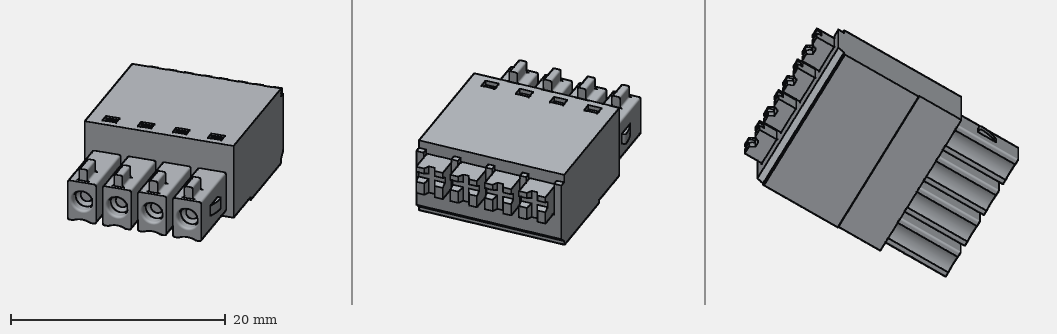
import cadquery as cq
import math

pole_count = 4
pole_pitch = 3.49
pole_positions = [(i - (pole_count - 1) / 2) * pole_pitch for i in range(pole_count)]
total_length = 21.8

housing_width = 14.8
housing_height = 7.8
housing_length = 13.35
rear_step_length = 0.6
rear_step_drop = 0.83
rear_chamfer_top = 1.05
rear_chamfer_bottom = 0.48
rear_edge_chamfer = 0.1
front_relief_length = 4.6
front_relief_height = 0.3

plug_length = 6.6
plug_width = 2.83
plug_top = 4.9
plug_bottom = 0.8
plug_edge_radius = 0.22
groove_half_width = 0.87
groove_height = 0.22

bore_height = 2.92
bore_radius = 0.98
bore_depth = 0.98
bore_mouth_radius = 0.22
bore_floor_radius = 0.59
bore_cone_depth = 0.3

key_width = 0.83
key_top = 6.1
key_setback = 0.37
key_length = 2.14
key_radius = 0.2

latch_bottom = 2.35
latch_height = 1.07
latch_reach = 0.37
latch_embed = 0.1
latch_back = -2.22
latch_corner_radius = 0.17
latch_tip = -4.2

tab_width = 2.7
tab_bottom = 3.65
tab_top = 6.55
tab_clearance = 0.07
notch_height = 5.43
notch_depth = 0.52
notch_mouth = 1.1
notch_floor = 0.57

opening_width = 1.35
opening_length = 0.98
opening_front = 0.75
opening_depth = 0.87
contact_width = 1.05
contact_drop = 0.2
contact_front_gap = 0.07
contact_flat_length = 0.3
contact_slope_drop = 0.22

tab_end = total_length - plug_length
rear_face = housing_length - rear_step_length


def box(width, y_start, y_end, z_start, z_end):
    """Box centred on X = 0 that spans the given Y and Z ranges."""
    return (
        cq.Workplane("XY")
        .box(width, y_end - y_start, z_end - z_start, centered=(True, False, False))
        .translate((0, y_start, z_start))
    )


def make_housing():
    ledge_top = housing_height - rear_step_drop
    return (
        cq.Workplane("YZ")
        .moveTo(0, front_relief_height)
        .lineTo(front_relief_length, front_relief_height)
        .lineTo(front_relief_length, 0)
        .lineTo(rear_face - rear_edge_chamfer, 0)
        .lineTo(rear_face, rear_edge_chamfer)
        .lineTo(rear_face, rear_chamfer_bottom)
        .lineTo(housing_length, rear_chamfer_top)
        .lineTo(housing_length, ledge_top)
        .lineTo(rear_face, ledge_top)
        .lineTo(rear_face, housing_height)
        .lineTo(0, housing_height)
        .close()
        .extrude(housing_width / 2, both=True)
    )


def make_plug():
    """Plug with rounded long edges and a shallow groove along its underside."""
    half_width = plug_width / 2
    profile = (
        cq.Workplane("XZ")
        .moveTo(-half_width, plug_top)
        .lineTo(-half_width, plug_bottom)
        .lineTo(-groove_half_width, plug_bottom)
        .threePointArc((0, plug_bottom + groove_height), (groove_half_width, plug_bottom))
        .lineTo(half_width, plug_bottom)
        .lineTo(half_width, plug_top)
        .close()
        .extrude(plug_length)
    )
    return profile.edges("|Y and (<X or >X)").fillet(plug_edge_radius)


def make_bore():
    """Round opening with a rounded mouth and a tapered end, open to the front of the plug."""
    mouth_radius = bore_radius + bore_mouth_radius
    cone_end = bore_depth + bore_cone_depth
    arc_offset = bore_mouth_radius * (1 - math.sqrt(0.5))
    return (
        cq.Workplane("XY")
        .moveTo(0, 0)
        .lineTo(mouth_radius, 0)
        .threePointArc((bore_radius + arc_offset, arc_offset), (bore_radius, bore_mouth_radius))
        .lineTo(bore_radius, bore_depth)
        .lineTo(bore_floor_radius, cone_end)
        .lineTo(0, cone_end)
        .close()
        .revolve()
        .translate((0, -plug_length, bore_height))
    )


def make_key():
    """Upright rib with a rounded top and a flared foot."""
    half_width = key_width / 2
    foot = half_width + key_radius
    shoulder = key_top - key_radius
    foot_top = plug_top + key_radius
    crest = half_width - key_radius
    key_rear = key_setback + key_length - plug_length
    return (
        cq.Workplane("XZ", origin=(0, key_rear, 0))
        .moveTo(-foot, plug_top)
        .radiusArc((-half_width, foot_top), -key_radius)
        .lineTo(-half_width, shoulder)
        .radiusArc((-crest, key_top), key_radius)
        .lineTo(crest, key_top)
        .radiusArc((half_width, shoulder), key_radius)
        .lineTo(half_width, foot_top)
        .radiusArc((foot, plug_top), -key_radius)
        .close()
        .extrude(key_length)
    )


def make_latch():
    """Latch on the +X side: blunt towards the housing, curving down towards the plug end."""
    wall = pole_positions[-1] + plug_width / 2
    crest = wall + latch_reach
    root = wall - latch_embed
    return (
        cq.Workplane("XY", origin=(0, 0, latch_bottom))
        .moveTo(root, latch_back)
        .lineTo(crest - latch_corner_radius, latch_back)
        .radiusArc((crest, latch_back - latch_corner_radius), latch_corner_radius)
        .tangentArcPoint((wall, latch_tip), relative=False)
        .lineTo(root, latch_tip)
        .close()
        .extrude(latch_height)
    )


def make_notch(plane, length):
    """Trapezoidal notch prism, narrowing from the tab end towards the housing."""
    floor = tab_end - notch_depth
    corners = [
        (-notch_mouth / 2, tab_end),
        (-notch_floor / 2, floor),
        (notch_floor / 2, floor),
        (notch_mouth / 2, tab_end),
    ]
    if plane == "YZ":
        corners = [(y, across) for across, y in corners]
    return cq.Workplane(plane).polyline(corners).close().extrude(length, both=True)


def make_tab():
    """Release tab whose end is notched both from above and from the side."""
    tab = box(tab_width, rear_face, tab_end, tab_bottom, tab_top)
    upright_notch = make_notch("XY", housing_height)
    cross_notch = make_notch("YZ", tab_width).translate((0, 0, notch_height))
    return tab.cut(upright_notch).cut(cross_notch)


def make_tab_recess():
    """Clearance around the tab, open at the top and rear of the housing ledge."""
    width = tab_width + 2 * tab_clearance
    return box(width, rear_face, housing_length, tab_bottom - tab_clearance, housing_height)


def make_opening():
    return box(
        opening_width,
        opening_front,
        opening_front + opening_length,
        housing_height - opening_depth,
        housing_height,
    )


def make_contact():
    """Contact in the opening: level at the rear, sloping down towards the front."""
    front = opening_front + contact_front_gap
    rear = opening_front + opening_length
    bottom = housing_height - opening_depth
    top = housing_height - contact_drop
    return (
        cq.Workplane("YZ")
        .moveTo(front, bottom)
        .lineTo(rear, bottom)
        .lineTo(rear, top)
        .lineTo(rear - contact_flat_length, top)
        .lineTo(front, top - contact_slope_drop)
        .close()
        .extrude(contact_width / 2, both=True)
    )


plug = make_plug().union(make_key()).cut(make_bore())
rear_tab = make_tab()
tab_recess = make_tab_recess()
test_opening = make_opening().cut(make_contact())

result = make_housing()
for x in pole_positions:
    offset = (x, 0, 0)
    result = result.cut(tab_recess.translate(offset))
    result = result.cut(test_opening.translate(offset))
    result = result.union(plug.translate(offset))
    result = result.union(rear_tab.translate(offset))

end_latch = make_latch()
result = result.union(end_latch).union(end_latch.mirror("YZ"))